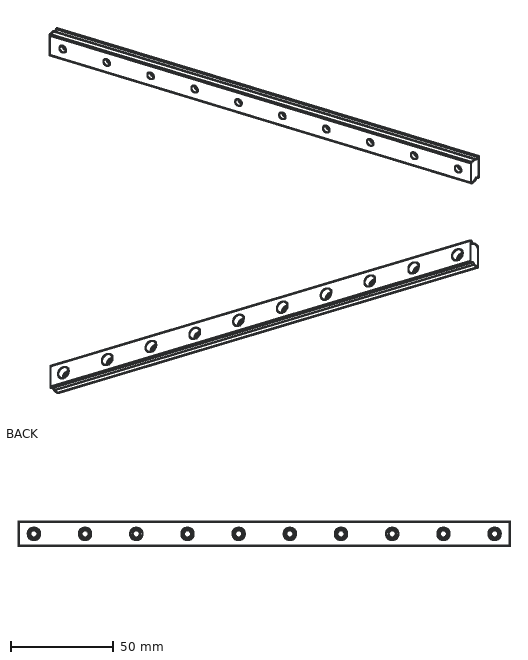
import cadquery as cq
import math

length = 240
thickness = 7.5
height = 12
front_chamfer = 0.5
back_chamfer = 0.2

groove_width = 2.5
groove_depth = 0.7
groove_offset = 2.5
groove_tip_shift = 0.2
groove_bulge = 0.2

hole_count = 10
end_margin = 7.5
hole_pitch = (length - 2 * end_margin) / (hole_count - 1)
hole_diameter = 3.5
counterbore_diameter = 6.0
counterbore_depth = 4.5

back_y = thickness / 2
groove_y = back_y - groove_offset


def rail_body():
    """Rectangular bar with its four long edges chamfered."""
    bar = cq.Workplane("XY").box(length, thickness, height)
    bar = bar.edges("|X and <Y").chamfer(front_chamfer)
    return bar.edges("|X and >Y").chamfer(back_chamfer)


def bulged_midpoint(start, end, side):
    """Middle point of an arc that bulges by groove_bulge into the rail."""
    run = end[0] - start[0]
    rise = end[1] - start[1]
    chord = math.hypot(run, rise)
    middle_y = (start[0] + end[0]) / 2 + side * groove_bulge * rise / chord
    middle_z = (start[1] + end[1]) / 2 - side * groove_bulge * run / chord
    return middle_y, middle_z


def ball_groove(side):
    """Groove cutter with two arc flanks; side is +1 for the top face, -1 for the bottom."""
    face_z = side * height / 2
    front_rim = (groove_y - groove_width / 2, face_z)
    tip = (groove_y + groove_tip_shift, face_z - side * groove_depth)
    back_rim = (groove_y + groove_width / 2, face_z)
    return (
        cq.Workplane("YZ", origin=(-length / 2, 0, 0))
        .moveTo(*front_rim)
        .threePointArc(bulged_midpoint(front_rim, tip, side), tip)
        .threePointArc(bulged_midpoint(tip, back_rim, side), back_rim)
        .close()
        .extrude(length)
    )


def mounting_holes(body):
    """Through holes counterbored from the +Y face, centred along the rail."""
    return (
        body.copyWorkplane(cq.Workplane("ZX", origin=(0, back_y, 0)))
        .rarray(2.5, hole_pitch, 1, hole_count)
        .cboreHole(hole_diameter, counterbore_diameter, counterbore_depth)
    )


result = rail_body()
for side in (1, -1):
    result = result.cut(ball_groove(side))
result = mounting_holes(result)